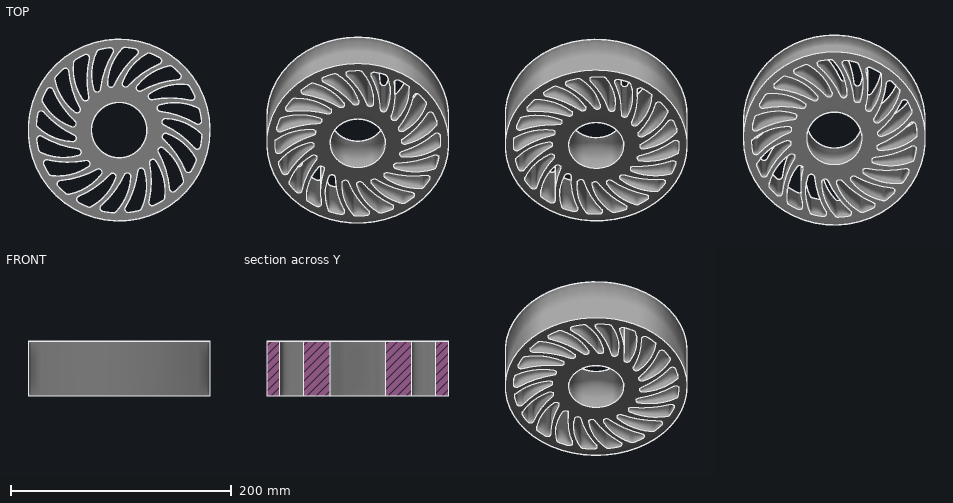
import cadquery as cq

outer_diameter = 165.0
bore_diameter = 50.0
height = 50.0

slot_count = 20
slot_outer_radius = 75.0
slot_corner_radius = 3.0

convex_wall_center = (38.6, 40.5)
convex_wall_radius = 49.0
concave_wall_center = (71.1, 5.3)
concave_wall_radius = 83.7


def disc(radius, center=(0, 0)):
    """Full-height cylinder standing on the XY plane."""
    return cq.Workplane("XY").center(*center).circle(radius).extrude(height)


def curved_slot():
    """Three-sided slot with two curved walls and a rim arc, rounded at its three corners."""
    convex_side = disc(convex_wall_radius, convex_wall_center)
    concave_side = disc(concave_wall_radius, concave_wall_center)
    slot = disc(slot_outer_radius).intersect(convex_side).cut(concave_side)
    return slot.edges("|Z").fillet(slot_corner_radius)


wheel = disc(outer_diameter / 2).cut(disc(bore_diameter / 2))

slot = curved_slot()
slot_pitch_angle = 360 / slot_count
for index in range(slot_count):
    wheel = wheel.cut(slot.rotate((0, 0, 0), (0, 0, 1), index * slot_pitch_angle))

result = wheel